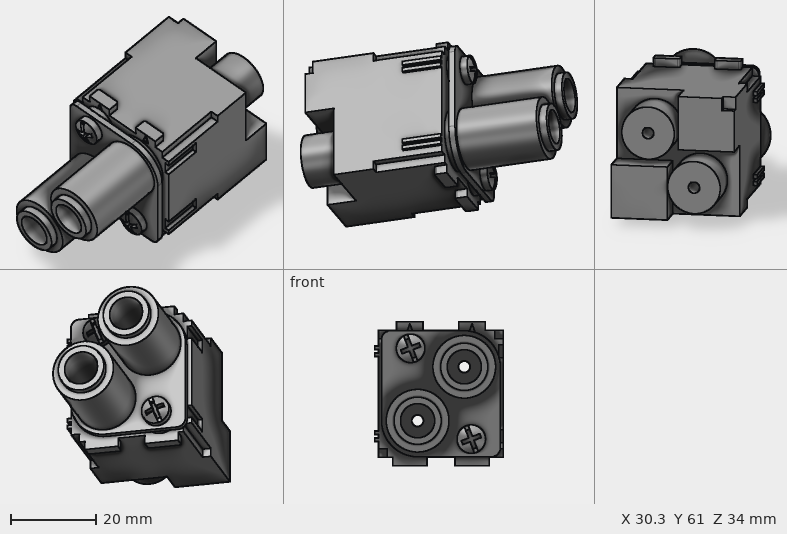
import cadquery as cq
import math


body_width = 29.4
body_height = 29.9
body_length = 34.1
edge_groove_size = 2.0
edge_groove_length = 17.1
rear_notch_depth = 7.15
rear_notch_overlap_x = 1.3
rear_notch_overlap_z = 2.15
rear_corner_size = 2.9
rear_corner_length = 1.9

contact_x = 5.5
contact_z = 6.35
contact_centres = [(contact_x, contact_z), (-contact_x, -contact_z)]
total_length = 61.0
rear_end = 36.25
front_end = rear_end - total_length
rear_shell_radius = 6.3
sleeve_radius = 7.4
stub_radius = 5.55
stub_length = 1.9
bore_radius = 4.0
through_hole_radius = 1.35

flange_back = -1.45
flange_front = -3.0
flange_rim = 8.5
flange_half_width = contact_x + flange_rim
flange_half_height = contact_z + flange_rim
flange_small_radius = 2.0

screw_x = 7.15
screw_z = 10.7
screw_centres = [(-screw_x, screw_z), (screw_x, -screw_z)]
screw_boss_radius = 4.15
screw_head_radius = 3.35
screw_head_edge = -4.8
dome_height = 0.9
slot_width = 1.0
straight_slot_depth = 1.0
cross_depth = 1.95
cross_arm_length = 2.3
slot_tilt = 21.0

tab_x = 7.3
upper_tab_width = 6.3
lower_tab_width = 8.1
tab_height = 2.045
tab_length = 3.1
tab_corner_radius = 0.55
arrow_half_width = 0.8
arrow_base_z = 14.3
arrow_tip_z = 16.5
arrow_depth = 0.2

rib_height = 0.9
rib_width = 0.9
rib_length = 9.6
rib_pair_z = 10.0
rib_pitch = 1.65
recess_depth = 1.1
recess_width = 3.1

half_width = body_width / 2
half_height = body_height / 2


def block(x_range, y_range, z_range):
    """Box spanning the given ranges, each a (start, end) pair."""
    spans = (x_range, y_range, z_range)
    size = [end - start for start, end in spans]
    corner = tuple(start for start, end in spans)
    return cq.Workplane("XY").box(*size, centered=False).translate(corner)


def cylinder(centre, radius, y_start, y_end):
    """Cylinder along Y around centre = (x, z)."""
    x, z = centre
    disc = cq.Workplane("XZ", origin=(x, y_start, z)).circle(radius)
    return disc.extrude(y_start - y_end)


def make_body():
    body = block((-half_width, half_width), (0, body_length), (-half_height, half_height))

    groove_x = half_width - edge_groove_size
    groove_z = half_height - edge_groove_size
    groove = block((groove_x, half_width), (0, edge_groove_length), (groove_z, half_height))
    for cutter in (groove, groove.mirror("YZ")):
        body = body.cut(cutter).cut(cutter.mirror("XY"))

    notch = block(
        (-rear_notch_overlap_x, half_width),
        (body_length - rear_notch_depth, body_length),
        (-rear_notch_overlap_z, half_height),
    )
    opposite_notch = notch.rotate((0, 0, 0), (0, 1, 0), 180)
    body = body.cut(notch).cut(opposite_notch)

    corner = block(
        (-half_width, rear_corner_size - half_width),
        (body_length - rear_corner_length, body_length),
        (half_height - rear_corner_size, half_height),
    )
    return body.cut(corner)


def make_tab(x, width, side):
    """Latch tab above (side = 1) or below (side = -1) the body."""
    z_edges = sorted((side * half_height, side * (half_height + tab_height)))
    tab = block((x - width / 2, x + width / 2), (0, tab_length), z_edges)
    return tab.edges("|Z and >Y").fillet(tab_corner_radius)


def make_arrow(x):
    """Shallow triangular mark on the front of an upper tab."""
    face = cq.Workplane("XZ")
    corners = [
        (x - arrow_half_width, arrow_base_z),
        (x + arrow_half_width, arrow_base_z),
        (x, arrow_tip_z),
    ]
    return face.polyline(corners).close().extrude(-arrow_depth)


def make_rib(z):
    x_range = (-half_width - rib_height, -half_width)
    return block(x_range, (0, rib_length), (z - rib_width / 2, z + rib_width / 2))


def make_recess(z):
    x_range = (half_width - recess_depth, half_width)
    return block(x_range, (0, rib_length), (z - recess_width / 2, z + recess_width / 2))


def make_flange():
    """Plate with small corners at the screws and large ones around the sleeves."""
    w = flange_half_width
    h = flange_half_height
    small = flange_small_radius
    small_mid = small * (1 - math.sqrt(0.5))
    large_mid = flange_rim * math.sqrt(0.5)
    outline = (
        cq.Workplane("XZ", origin=(0, flange_back, 0))
        .moveTo(small - w, h)
        .lineTo(contact_x, h)
        .threePointArc((contact_x + large_mid, contact_z + large_mid), (w, contact_z))
        .lineTo(w, small - h)
        .threePointArc((w - small_mid, small_mid - h), (w - small, -h))
        .lineTo(-contact_x, -h)
        .threePointArc((-contact_x - large_mid, -contact_z - large_mid), (-w, -contact_z))
        .lineTo(-w, h - small)
        .threePointArc((small_mid - w, h - small_mid), (small - w, h))
        .close()
    )
    return outline.extrude(flange_back - flange_front)


def make_screw_head():
    """Domed head on the Y axis, with a tilted cross slot."""
    dome_tip = screw_head_edge - dome_height
    dome_radius = (screw_head_radius**2 + dome_height**2) / (2 * dome_height)
    dome_mid_x = screw_head_radius / 2
    dome_mid_y = dome_tip + dome_radius - math.sqrt(dome_radius**2 - dome_mid_x**2)
    head = (
        cq.Workplane("XY")
        .moveTo(0, flange_front)
        .lineTo(screw_head_radius, flange_front)
        .lineTo(screw_head_radius, screw_head_edge)
        .threePointArc((dome_mid_x, dome_mid_y), (0, dome_tip))
        .close()
        .revolve(360, (0, 0, 0), (0, 1, 0))
    )

    def arm(half_x, half_z, depth):
        return block((-half_x, half_x), (dome_tip, dome_tip + depth), (-half_z, half_z))

    half_slot = slot_width / 2
    cross = (
        arm(half_slot, screw_head_radius, straight_slot_depth)
        .union(arm(half_slot, cross_arm_length, cross_depth))
        .union(arm(cross_arm_length, half_slot, cross_depth))
        .rotate((0, 0, 0), (0, 1, 0), -slot_tilt)
    )
    return head.cut(cross)


result = make_body()

for side in (-1, 1):
    result = result.union(make_tab(side * tab_x, upper_tab_width, 1))
    result = result.union(make_tab(side * tab_x, lower_tab_width, -1))
    result = result.cut(make_arrow(side * tab_x))
    result = result.cut(make_recess(side * rib_pair_z))
    for rib_offset in (-rib_pitch / 2, rib_pitch / 2):
        result = result.union(make_rib(side * rib_pair_z + rib_offset))

result = result.union(make_flange())

screw_head = make_screw_head()
for centre in screw_centres:
    result = result.union(cylinder(centre, screw_boss_radius, flange_back, 0))
    result = result.union(screw_head.translate((centre[0], 0, centre[1])))

for centre in contact_centres:
    result = result.union(cylinder(centre, sleeve_radius, front_end + stub_length, 0))
    result = result.union(cylinder(centre, stub_radius, front_end, 0))
    result = result.union(cylinder(centre, rear_shell_radius, 0, rear_end))

for centre in contact_centres:
    result = result.cut(cylinder(centre, bore_radius, front_end, 0))
    result = result.cut(cylinder(centre, through_hole_radius, front_end, rear_end))